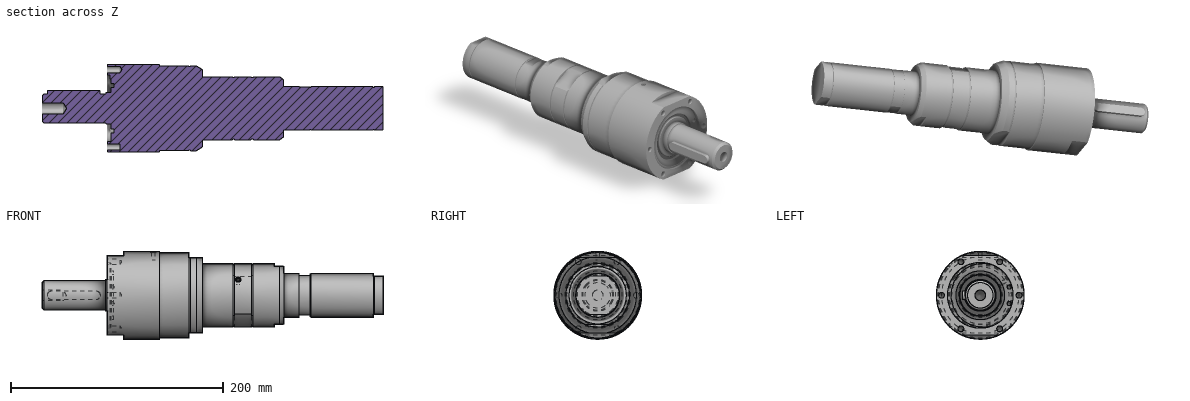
import cadquery as cq
import math


shaft_shoulder_x = 60.0
housing_start_x = 61.5
housing_flat_end_x = 77.0
housing_end_x = 111.0
sleeve_end_x = 138.5
nut_start_x = 140.0
nut_bevel_x = 145.5
nut_end_x = 151.5
collar_start_x = 180.0
collar_end_x = 199.0
cap_flat_start_x = 219.0
cap_bevel_x = 224.0
cap_end_x = 228.0
neck_start_x = 242.5
neck_end_x = 252.5
end_flat_start_x = 312.5
spindle_end_x = 322.0

shaft_diameter = 28.0
shoulder_diameter = 30.0
housing_diameter = 83.0
sleeve_diameter = 80.5
nut_end_diameter = 73.0
barrel_diameter = 60.0
cap_end_diameter = 54.0
tail_diameter = 41.5
neck_diameter = 41.0

shaft_chamfer = 2.0
groove_depth = 0.75
nut_groove_width = nut_start_x - sleeve_end_x
collar_groove_width = 1.5
tail_groove_width = 1.0

housing_flats = 75.0
nut_flats = 71.0
collar_flats = 55.0
cap_flats = 55.0
neck_flats = 37.5
end_flats = 36.0
collar_tilt = 30.0

key_start_x = 5.0
key_length = 50.0
key_width = 8.0
key_top_y = 17.0

recess_diameter = 62.0
recess_depth = 2.5
ring_bore_diameter = 60.0
ring_bore_offset = 2.4
ring_thickness = 1.0
ring_hole_diameter = 4.0
ring_hole_depth = 3.0
ring_hole_y = -27.3
ring_hole_z = 7.8
seal_diameter = 46.0
seal_depth = 2.5
lip_diameter = 39.5
lip_height = 2.5
lip_chamfer = 0.5

bolt_circle_radius = 36.5
bolt_count = 6
bolt_hole_diameter = 5.5
bolt_hole_depth = 12.0
dowel_position = 180.0
centre_hole_diameter = 10.0
centre_hole_depth = 20.0
drill_point_angle = 118.0
housing_port_x = 105.0
collar_port_x = 185.0
port_mouth_diameter = 5.0
port_mouth_depth = 1.0
port_diameter = 3.3
port_depth = 8.0


def cylinder(start_x, length, diameter, y=0.0, z=0.0):
    """Cylinder parallel to X."""
    base = cq.Workplane("YZ", origin=(start_x, y, z))
    return base.circle(diameter / 2).extrude(length)


def section(start_x, end_x, diameter):
    return cylinder(start_x, end_x - start_x, diameter)


def cone(start_x, end_x, start_diameter, end_diameter):
    base = cq.Workplane("YZ", origin=(start_x, 0, 0)).circle(start_diameter / 2)
    return base.workplane(offset=end_x - start_x).circle(end_diameter / 2).loft(ruled=True)


def drilled_hole(start_x, depth, diameter, y=0.0, z=0.0):
    """Blind hole along +X ending in a drill point."""
    radius = diameter / 2
    point_length = radius / math.tan(math.radians(drill_point_angle / 2))
    profile = [(0, 0), (0, radius), (depth, radius), (depth + point_length, 0)]
    hole = cq.Workplane("XY").polyline(profile).close().revolve(360, (0, 0, 0), (1, 0, 0))
    return hole.translate((start_x, y, z))


def cut_flats(body, start_x, end_x, across, tilt=0.0):
    """Cut two parallel flats, facing +Z and -Z before tilting about X."""
    length = end_x - start_x
    band = cq.Workplane("XY").box(length, 2 * housing_diameter, 2 * housing_diameter)
    slab = cq.Workplane("XY").box(length, 2 * housing_diameter, across)
    waste = band.cut(slab).rotate((0, 0, 0), (1, 0, 0), tilt)
    return body.cut(waste.translate(((start_x + end_x) / 2, 0, 0)))


def cut_groove(body, start_x, width, diameter):
    ring = cylinder(start_x, width, diameter + 1)
    return body.cut(ring.cut(cylinder(start_x, width, diameter - 2 * groove_depth)))


def make_port(x, surface_radius):
    """Stepped blind hole entering radially from +Z."""
    surface = cq.Workplane("XY", origin=(x, 0, surface_radius))
    mouth = surface.circle(port_mouth_diameter / 2).extrude(-port_mouth_depth)
    bore = surface.circle(port_diameter / 2).extrude(-port_depth)
    clearance = surface.circle(port_mouth_diameter / 2).extrude(port_mouth_depth)
    return mouth.union(bore).union(clearance)


def make_shaft():
    shaft = section(0, shaft_shoulder_x, shaft_diameter).faces("<X").chamfer(shaft_chamfer)
    shaft = shaft.union(section(shaft_shoulder_x, housing_end_x, shoulder_diameter))
    key_middle_x = key_start_x + key_length / 2
    key = cq.Workplane("XZ", origin=(key_middle_x, 0, 0)).slot2D(key_length, key_width).extrude(-key_top_y)
    return shaft.union(key).cut(drilled_hole(0, centre_hole_depth, centre_hole_diameter))


def make_housing():
    housing = section(housing_start_x, housing_end_x, housing_diameter)
    housing = cut_flats(housing, housing_start_x, housing_flat_end_x, housing_flats)

    ring_x = housing_start_x + recess_depth
    ring_back_x = ring_x + ring_thickness
    seal_x = ring_back_x + seal_depth
    recess = section(housing_start_x, ring_x, recess_diameter)
    ring_bore = cylinder(ring_x, ring_thickness, ring_bore_diameter, y=-ring_bore_offset)
    ring_bore = ring_bore.intersect(section(ring_x, ring_back_x, recess_diameter))
    housing = housing.cut(recess).cut(ring_bore)
    housing = housing.cut(section(ring_back_x, seal_x, seal_diameter))
    lip = cylinder(seal_x - lip_height, lip_height, lip_diameter).faces("<X").chamfer(lip_chamfer)
    housing = housing.union(lip)
    for side in (-1, 1):
        z = side * ring_hole_z
        housing = housing.cut(drilled_hole(ring_x, ring_hole_depth, ring_hole_diameter, ring_hole_y, z))

    for index in range(bolt_count):
        position = index * 360 / bolt_count
        angle = math.radians(position)
        y = bolt_circle_radius * math.cos(angle)
        z = bolt_circle_radius * math.sin(angle)
        if position == dowel_position:
            hole = cylinder(housing_start_x, bolt_hole_depth, bolt_hole_diameter, y, z)
        else:
            hole = drilled_hole(housing_start_x, bolt_hole_depth, bolt_hole_diameter, y, z)
        housing = housing.cut(hole)

    return housing.cut(make_port(housing_port_x, housing_diameter / 2))


def make_nut():
    sleeve = section(housing_end_x, nut_bevel_x, sleeve_diameter)
    nut = sleeve.union(cone(nut_bevel_x, nut_end_x, sleeve_diameter, nut_end_diameter))
    nut = cut_groove(nut, sleeve_end_x, nut_groove_width, sleeve_diameter)
    return cut_flats(nut, sleeve_end_x, nut_end_x, nut_flats)


def make_barrel():
    barrel = section(nut_end_x, cap_bevel_x, barrel_diameter)
    barrel = barrel.union(cone(cap_bevel_x, cap_end_x, barrel_diameter, cap_end_diameter))
    barrel = cut_flats(barrel, collar_start_x, collar_end_x, collar_flats, -collar_tilt)
    for groove_x in (collar_start_x, collar_end_x - collar_groove_width):
        barrel = cut_groove(barrel, groove_x, collar_groove_width, barrel_diameter)
    barrel = cut_flats(barrel, cap_flat_start_x, cap_end_x, cap_flats)

    port = make_port(collar_port_x, barrel_diameter / 2)
    return barrel.cut(port.rotate((0, 0, 0), (1, 0, 0), 90 - collar_tilt))


def make_tail():
    tail = section(cap_end_x, neck_start_x, tail_diameter)
    tail = tail.union(section(neck_start_x, neck_end_x, neck_diameter))
    tail = tail.union(section(neck_end_x, spindle_end_x, tail_diameter))
    for groove_x in (neck_end_x, end_flat_start_x):
        tail = cut_groove(tail, groove_x, tail_groove_width, tail_diameter)
    tail = cut_flats(tail, neck_start_x, neck_end_x, neck_flats)
    return cut_flats(tail, end_flat_start_x, spindle_end_x, end_flats)


result = make_housing().union(make_shaft()).union(make_nut()).union(make_barrel()).union(make_tail())